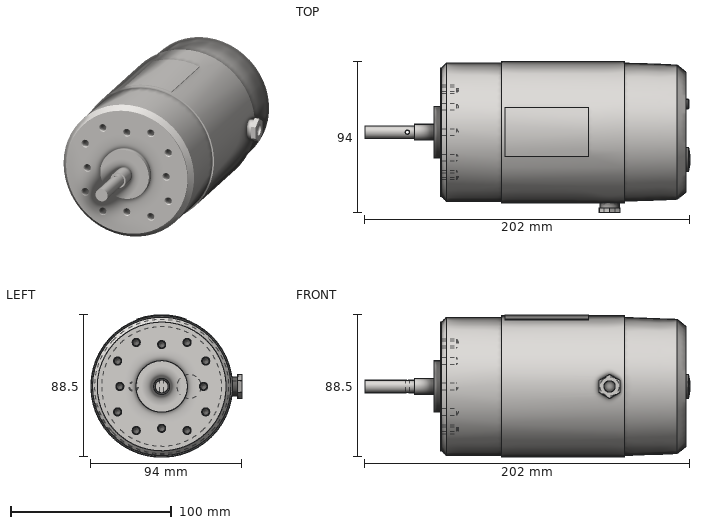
import cadquery as cq
import math


SHAFT_STEP_X = 30.7
BOSS_X = 42.8
FACE_X = 47.0
LIP_END_X = 47.7
FRONT_CHAMFER = 3.0
HOUSING_START_X = 85.0
HOUSING_END_X = 161.2
REAR_CHAMFER_X = 194.0
REAR_FACE_X = 199.5
OVERALL_LENGTH = 202.0

SHAFT_RADIUS = 4.0
SHOULDER_RADIUS = 5.0
BOSS_RADIUS = 16.0
FRONT_CAP_RADIUS = 43.0
HOUSING_RADIUS = 44.0
REAR_CAP_START_RADIUS = 42.9
REAR_CAP_MID_RADIUS = 42.45
REAR_CAP_END_RADIUS = 41.7
REAR_FACE_RADIUS = 37.2

CROSS_HOLE_X = 26.4
CROSS_HOLE_DIAMETER = 2.5

MOUNT_HOLE_MOUTH_DIAMETER = 5.0
MOUNT_HOLE_DIAMETER = 4.2
MOUNT_HOLE_DEPTH = 10.0
INNER_HOLE_CIRCLE_RADIUS = 26.0
OUTER_HOLE_CIRCLE_RADIUS = 31.6
INNER_HOLE_ANGLES = [0, 90, 180, 270]
OUTER_HOLE_ANGLES = [quarter + offset for quarter in INNER_HOLE_ANGLES for offset in (30, 60)]
DRILL_POINT_ANGLE = 118.0

PLATE_START_X = 87.0
PLATE_LENGTH = 52.0
PLATE_WIDTH = 30.5
PLATE_THICKNESS = 0.5

GLAND_X = 152.0
GLAND_END_Y = -50.0
GLAND_HEX_ACROSS_FLATS = 13.0
GLAND_HEX_THICKNESS = 2.9
GLAND_NECK_DIAMETER = 12.0
GLAND_NECK_SINK = 2.0
GLAND_BORE_DIAMETER = 7.0

LARGE_PLUG_Y = -17.0
LARGE_PLUG_DIAMETER = 15.0
LARGE_PLUG_RIM_HEIGHT = 1.5
LARGE_PLUG_DOME_HEIGHT = OVERALL_LENGTH - REAR_FACE_X - LARGE_PLUG_RIM_HEIGHT

SMALL_PLUG_Y = 17.5
SMALL_PLUG_DIAMETER = 6.0
SMALL_PLUG_HEIGHT = 1.8
SMALL_PLUG_CHAMFER = 0.5


def axial_cylinder(start_x, end_x, radius):
    """Cylinder on the motor axis between two stations."""
    return cq.Workplane("YZ").workplane(offset=start_x).circle(radius).extrude(end_x - start_x)


def make_turned_body():
    """Shaft, boss, end caps and housing revolved about X."""
    lip_radius = FRONT_CAP_RADIUS - FRONT_CHAMFER
    rear_cap_mid_x = (HOUSING_END_X + REAR_CHAMFER_X) / 2
    profile = (
        cq.Workplane("XY")
        .moveTo(0, 0)
        .lineTo(0, SHAFT_RADIUS)
        .lineTo(SHAFT_STEP_X, SHAFT_RADIUS)
        .lineTo(SHAFT_STEP_X, SHOULDER_RADIUS)
        .lineTo(BOSS_X, SHOULDER_RADIUS)
        .lineTo(BOSS_X, BOSS_RADIUS)
        .lineTo(FACE_X, BOSS_RADIUS)
        .lineTo(FACE_X, lip_radius)
        .lineTo(LIP_END_X, lip_radius)
        .lineTo(LIP_END_X + FRONT_CHAMFER, FRONT_CAP_RADIUS)
        .lineTo(HOUSING_START_X, FRONT_CAP_RADIUS)
        .lineTo(HOUSING_START_X, HOUSING_RADIUS)
        .lineTo(HOUSING_END_X, HOUSING_RADIUS)
        .lineTo(HOUSING_END_X, REAR_CAP_START_RADIUS)
        .threePointArc((rear_cap_mid_x, REAR_CAP_MID_RADIUS), (REAR_CHAMFER_X, REAR_CAP_END_RADIUS))
        .lineTo(REAR_FACE_X, REAR_FACE_RADIUS)
        .lineTo(REAR_FACE_X, 0)
        .close()
    )
    return profile.revolve(360, (0, 0, 0), (1, 0, 0))


def make_cross_hole():
    """Vertical hole through the shaft."""
    return (
        cq.Workplane("XY")
        .center(CROSS_HOLE_X, 0)
        .circle(CROSS_HOLE_DIAMETER / 2)
        .extrude(SHAFT_RADIUS * 2, both=True)
    )


def make_mount_hole(circle_radius, angle):
    """Blind drilled hole in the front face with a chamfered mouth and a conical bottom."""
    hole_radius = MOUNT_HOLE_DIAMETER / 2
    mouth_radius = MOUNT_HOLE_MOUTH_DIAMETER / 2
    point_length = hole_radius / math.tan(math.radians(DRILL_POINT_ANGLE / 2))
    bottom_x = FACE_X + MOUNT_HOLE_DEPTH
    drill = (
        cq.Workplane("XY")
        .moveTo(FACE_X, 0)
        .lineTo(FACE_X, mouth_radius)
        .lineTo(FACE_X + mouth_radius - hole_radius, hole_radius)
        .lineTo(bottom_x, hole_radius)
        .lineTo(bottom_x + point_length, 0)
        .close()
        .revolve(360, (0, 0, 0), (1, 0, 0))
    )
    return drill.translate((0, circle_radius, 0)).rotate((0, 0, 0), (1, 0, 0), angle)


def make_name_plate():
    """Thin plate that follows the housing surface."""
    plate_end_x = PLATE_START_X + PLATE_LENGTH
    outer_radius = HOUSING_RADIUS + PLATE_THICKNESS
    sleeve = axial_cylinder(PLATE_START_X, plate_end_x, outer_radius)
    sleeve = sleeve.cut(axial_cylinder(PLATE_START_X, plate_end_x, HOUSING_RADIUS))
    window = cq.Workplane("XY").box(
        PLATE_LENGTH, PLATE_WIDTH, outer_radius, centered=(False, True, False)
    )
    return sleeve.intersect(window.translate((PLATE_START_X, 0, 0)))


def make_gland():
    """Round neck with a hexagonal head, bored down to the housing surface."""
    hex_corner_diameter = GLAND_HEX_ACROSS_FLATS / math.cos(math.pi / 6)
    end_plane = cq.Workplane("XZ", origin=(GLAND_X, 0, 0)).workplane(offset=-GLAND_END_Y)
    neck_length = -GLAND_END_Y - HOUSING_RADIUS + GLAND_NECK_SINK
    neck = end_plane.circle(GLAND_NECK_DIAMETER / 2).extrude(-neck_length)
    head = (
        end_plane.transformed(rotate=(0, 0, 90))
        .polygon(6, hex_corner_diameter)
        .extrude(-GLAND_HEX_THICKNESS)
    )
    bore = end_plane.circle(GLAND_BORE_DIAMETER / 2).extrude(-neck_length)
    return neck.union(head).cut(bore)


def make_large_plug():
    """Round plug with a domed top standing on the rear face."""
    radius = LARGE_PLUG_DIAMETER / 2
    rim_x = REAR_FACE_X + LARGE_PLUG_RIM_HEIGHT
    sphere_radius = (radius**2 + LARGE_PLUG_DOME_HEIGHT**2) / (2 * LARGE_PLUG_DOME_HEIGHT)
    half_angle = math.asin(radius / sphere_radius) / 2
    dome_mid_x = OVERALL_LENGTH - sphere_radius * (1 - math.cos(half_angle))
    dome_mid_radius = sphere_radius * math.sin(half_angle)
    plug = (
        cq.Workplane("XY")
        .moveTo(REAR_FACE_X, 0)
        .lineTo(REAR_FACE_X, radius)
        .lineTo(rim_x, radius)
        .threePointArc((dome_mid_x, dome_mid_radius), (OVERALL_LENGTH, 0))
        .close()
        .revolve(360, (0, 0, 0), (1, 0, 0))
    )
    return plug.translate((0, LARGE_PLUG_Y, 0))


def make_small_plug():
    """Chamfered round plug standing on the rear face."""
    return (
        cq.Workplane("YZ", origin=(REAR_FACE_X, SMALL_PLUG_Y, 0))
        .circle(SMALL_PLUG_DIAMETER / 2)
        .extrude(SMALL_PLUG_HEIGHT)
        .faces(">X")
        .chamfer(SMALL_PLUG_CHAMFER)
    )


body = make_turned_body()
body = body.cut(make_cross_hole())
for hole_angle in INNER_HOLE_ANGLES:
    body = body.cut(make_mount_hole(INNER_HOLE_CIRCLE_RADIUS, hole_angle))
for hole_angle in OUTER_HOLE_ANGLES:
    body = body.cut(make_mount_hole(OUTER_HOLE_CIRCLE_RADIUS, hole_angle))
body = body.union(make_name_plate())
body = body.union(make_gland())
body = body.union(make_large_plug())
body = body.union(make_small_plug())

result = body